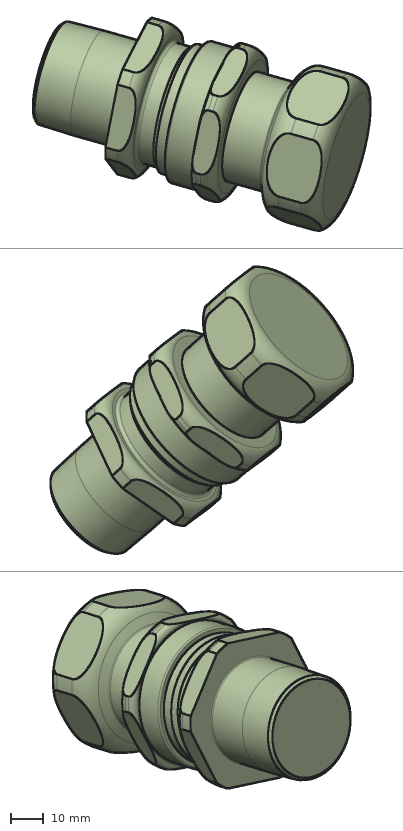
import cadquery as cq
import math


across_flats = 46.0
corner_radius = 50.45 / 2

thread_radius = 33.4 / 2
tip_radius = 32.9 / 2
tip_chamfer = 1.0
taper_end = 12.9
entry_hex_start = 27.45
entry_hex_end = 35.1
entry_hex_round = 3.9
thread_root_fillet = 0.3
neck_radius = 38.4 / 2
neck_root_fillet = 1.1

ring_radius = 41.3 / 2
ring_start = 40.9
ring_chamfer_length = 1.4

sleeve_radius = 45.1 / 2
sleeve_start = 45.7
sleeve_edge_fillet = 0.6
nut_start = 55.1
nut_end = 62.7
nut_front_round = 2.0
nut_back_round = 4.1

tube_radius = 34.9 / 2
tail_hex_crown_start = 84.2
tail_end = 96.65
tail_front_round = 8.0
tail_back_round = 5.2
tail_cone_angle = math.radians(64)
tail_root_fillet = 0.4
tail_cone_start = 75.4


def revolve_x(profile):
    """Revolve a closed (x, radius) profile about the X axis."""
    return profile.close().revolve(360, (0, 0, 0), (1, 0, 0))


def cylinder(start, end, radius):
    return cq.Workplane("YZ", origin=(start, 0, 0)).circle(radius).extrude(end - start)


def hexagon(start, end):
    """Hexagonal bar with flats facing +Z and -Z."""
    across_corners = across_flats / math.cos(math.pi / 6)
    return cq.Workplane("YZ", origin=(start, 0, 0)).polygon(6, across_corners).extrude(end - start)


def rounded_disc(start, end, front_round, back_round):
    """Disc of the corner radius with quarter-round edges; a zero round leaves that edge sharp."""
    disc = cylinder(start, end, corner_radius)
    if front_round:
        disc = disc.faces("<X").edges().fillet(front_round)
    return disc.faces(">X").edges().fillet(back_round)


def make_entry_body():
    stub = revolve_x(
        cq.Workplane("XY")
        .lineTo(0, tip_radius - tip_chamfer)
        .lineTo(tip_chamfer, tip_radius)
        .lineTo(taper_end, thread_radius)
        .lineTo(entry_hex_start, thread_radius)
        .lineTo(entry_hex_start, 0)
    )
    hex_section = hexagon(entry_hex_start, entry_hex_end).intersect(
        rounded_disc(entry_hex_start, entry_hex_end, 0, entry_hex_round)
    )
    neck = cylinder(entry_hex_end, sleeve_start, neck_radius)
    body = stub.union(hex_section).union(neck)
    body = body.edges(root_circle(entry_hex_start, thread_radius)).fillet(thread_root_fillet)
    return body.edges(root_circle(entry_hex_end, neck_radius)).fillet(neck_root_fillet)


def root_circle(x, radius):
    """Selector for the edges of the circle of this radius at this x."""
    tolerance = 0.01
    return cq.selectors.BoxSelector(
        (x - tolerance, -radius - tolerance, -radius - tolerance),
        (x + tolerance, radius + tolerance, radius + tolerance),
        boundingbox=True,
    )


def make_sealing_ring():
    return revolve_x(
        cq.Workplane("XY")
        .moveTo(ring_start, neck_radius)
        .lineTo(ring_start + ring_chamfer_length, ring_radius)
        .lineTo(sleeve_start, ring_radius)
        .lineTo(sleeve_start, neck_radius)
    )


def make_sleeve():
    sleeve = cylinder(sleeve_start, nut_start, sleeve_radius)
    sleeve = sleeve.faces("<X").edges().fillet(sleeve_edge_fillet)
    return sleeve.cut(cylinder(sleeve_start, nut_start, tube_radius))


def make_middle_nut():
    nut = hexagon(nut_start, nut_end).intersect(
        rounded_disc(nut_start, nut_end, nut_front_round, nut_back_round)
    )
    return nut.cut(cylinder(nut_start, nut_end, tube_radius))


def make_tail_body():
    round_centre_radius = corner_radius - tail_front_round

    def front_round_point(angle):
        x = tail_hex_crown_start - tail_front_round * math.sin(angle)
        return x, round_centre_radius + tail_front_round * math.cos(angle)

    turned_envelope = revolve_x(
        cq.Workplane("XY")
        .moveTo(tail_cone_start, 0)
        .lineTo(tail_cone_start, tube_radius)
        .lineTo(*front_round_point(tail_cone_angle))
        .threePointArc(front_round_point(tail_cone_angle / 2), (tail_hex_crown_start, corner_radius))
        .lineTo(tail_end - tail_back_round, corner_radius)
        .radiusArc((tail_end, corner_radius - tail_back_round), tail_back_round)
        .lineTo(tail_end, 0)
    )
    hex_section = hexagon(tail_cone_start, tail_end).intersect(turned_envelope)
    tube = cylinder(sleeve_start, tail_cone_start, tube_radius)
    body = tube.union(hex_section)
    return body.edges(root_circle(tail_cone_start, tube_radius)).fillet(tail_root_fillet)


entry_body = make_entry_body()
sealing_ring = make_sealing_ring()
sleeve = make_sleeve()
middle_nut = make_middle_nut()
tail_body = make_tail_body()

result = cq.Compound.makeCompound([
    entry_body.val(),
    sealing_ring.val(),
    sleeve.val(),
    middle_nut.val(),
    tail_body.val(),
])